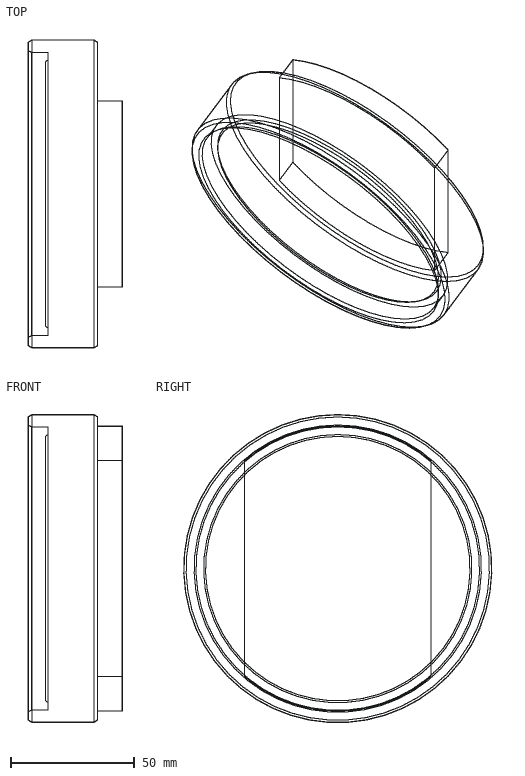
import cadquery as cq

body_diameter = 124.3
body_length = 28.1
body_radius = body_diameter / 2
chamfer_length = 1.5
chamfer_depth = 1.0

recess_radius = 57.2
recess_depth = 8.0
mouth_bevel_length = 1.4
mouth_bevel_depth = 0.7

pad_base_radius = 54.1
pad_top_radius = 53.3
pad_height = 1.0
pad_top_x = recess_depth - pad_height

boss_diameter = 115.0
boss_width = 75.1
boss_length = 10.0


def make_body():
    """Revolve the half section; sketch x is the axis and sketch y the radius."""
    section = (
        cq.Workplane("XZ")
        .moveTo(pad_top_x, 0)
        .lineTo(pad_top_x, pad_top_radius)
        .lineTo(recess_depth, pad_base_radius)
        .lineTo(recess_depth, recess_radius)
        .lineTo(mouth_bevel_length, recess_radius)
        .lineTo(0, recess_radius + mouth_bevel_depth)
        .lineTo(0, body_radius - chamfer_depth)
        .lineTo(chamfer_length, body_radius)
        .lineTo(body_length - chamfer_length, body_radius)
        .lineTo(body_length, body_radius - chamfer_depth)
        .lineTo(body_length, 0)
        .close()
    )
    return section.revolve(360, (0, 0, 0), (1, 0, 0))


def make_boss():
    """Disc on the back face, trimmed to its width by flats on both Y sides."""
    back_face = cq.Workplane("YZ", origin=(body_length, 0, 0))
    disc = back_face.circle(boss_diameter / 2).extrude(boss_length)
    trim = back_face.rect(boss_width, boss_diameter).extrude(boss_length)
    return disc.intersect(trim)


result = make_body().union(make_boss())